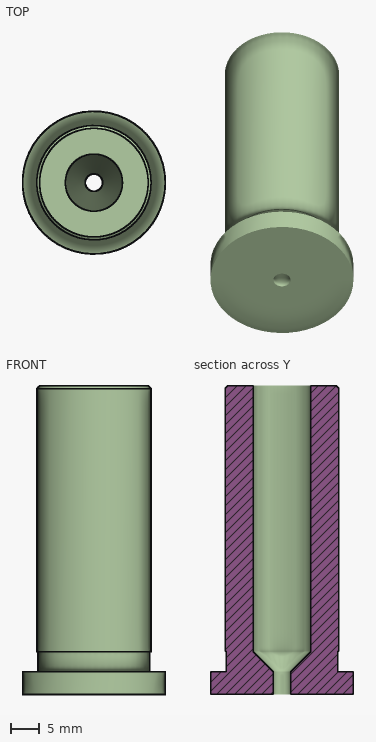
import cadquery as cq
import math

total_height = 54.0
flange_diameter = 25.0
flange_height = 4.0
body_diameter = 20.0
neck_diameter = 19.6
neck_height = 3.5
rim_chamfer = 0.5

bore_diameter = 10.0
through_diameter = 3.0
drill_point_angle = 90.0
bore_floor_thickness = flange_height

body_height = total_height - flange_height - neck_height
cone_height = (bore_diameter - through_diameter) / 2 / math.tan(math.radians(drill_point_angle / 2))
cone_top = bore_floor_thickness + cone_height


def make_sleeve():
    """Flange, relieved neck and main body stacked along Z."""
    flange = cq.Workplane("XY").circle(flange_diameter / 2).extrude(flange_height)
    neck = flange.faces(">Z").workplane().circle(neck_diameter / 2).extrude(neck_height)
    body = neck.faces(">Z").workplane().circle(body_diameter / 2).extrude(body_height)
    return body.faces(">Z").edges().chamfer(rim_chamfer)


def make_bore():
    """Revolved cutter: straight bore, conical bottom and small through hole."""
    return (
        cq.Workplane("XZ")
        .moveTo(0, 0)
        .lineTo(through_diameter / 2, 0)
        .lineTo(through_diameter / 2, bore_floor_thickness)
        .lineTo(bore_diameter / 2, cone_top)
        .lineTo(bore_diameter / 2, total_height)
        .lineTo(0, total_height)
        .close()
        .revolve(360, (0, 0, 0), (0, 1, 0))
    )


result = make_sleeve().cut(make_bore())